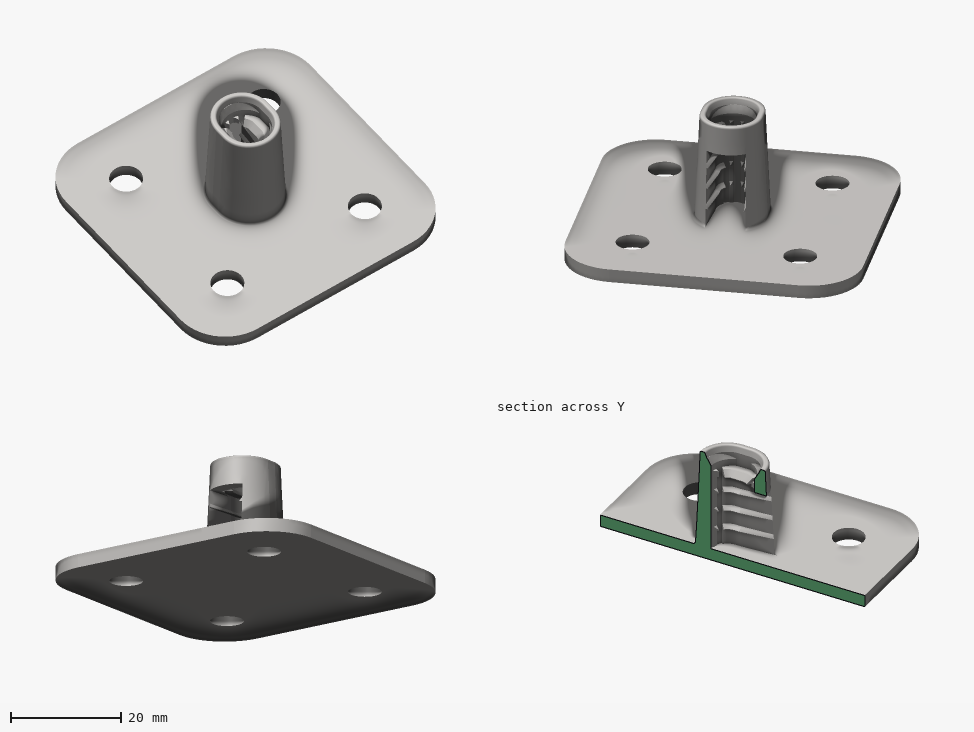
import cadquery as cq
import math

plate_side = 55.0
plate_thickness = 2.55
plate_corner_radius = 10.0
hole_spacing = 30.95
hole_diameter = 6.15

tower_top = 22.95
end_offset = 1.05
tower_base_radius = 6.75
tower_top_radius = 5.8
foot_fillet_radius = 0.5
rim_fillet_radius = 0.45

mouth_top_radius = 4.75
mouth_bottom_radius = 4.25
mouth_depth = 1.2
bore_radius = 4.45
bore_entry_radius = 5.2
bore_entry_depth = 1.4
bore_depth = 4.0
shelf_z = tower_top - bore_depth

chamber_radius = 3.25
throat_top_radius = 2.8
throat_radius = 1.7
throat_funnel_height = 1.1
tooth_tip_radius = 2.5
tooth_count = 3
tooth_pitch = 4.0
tooth_ramp_height = 0.7
tooth_lip_height = 0.1

rib_y = 1.05
rib_tip_x = 3.4
rib_width = 1.0

window_height = 14.9
window_half_width = 3.85
window_outer_x = -8.8
window_tooth_tip_y = 3.65


def stadium(z, radius):
    """Stadium wire outline at height z, elongated along X."""
    return (
        cq.Workplane("XY", origin=(0, 0, z))
        .slot2D(2 * (radius + end_offset), 2 * radius)
    )


def tapered_stadium(z_low, z_high, radius_low, radius_high):
    """Solid stadium with straight, evenly inclined walls."""
    height = z_high - z_low
    draft = math.degrees(math.atan2(radius_low - radius_high, height))
    return stadium(z_low, radius_low).extrude(height, taper=draft)


def make_plate():
    plate = (
        cq.Workplane("XY")
        .rect(plate_side, plate_side)
        .extrude(plate_thickness)
        .edges("|Z")
        .fillet(plate_corner_radius)
    )
    return (
        plate.faces(">Z").workplane()
        .rect(hole_spacing, hole_spacing, forConstruction=True)
        .vertices()
        .hole(hole_diameter)
    )


def add_tower(plate):
    tower = tapered_stadium(plate_thickness, tower_top, tower_base_radius, tower_top_radius)
    reach = tower_base_radius + 2 * end_offset
    margin = 0.05
    foot_edges = cq.selectors.BoxSelector(
        (-reach, -reach, plate_thickness - margin),
        (reach, reach, plate_thickness + margin),
        boundingbox=True,
    )
    return plate.union(tower).edges(foot_edges).fillet(foot_fillet_radius)


def make_socket():
    mouth_z = tower_top - mouth_depth
    mouth = tapered_stadium(mouth_z, tower_top, mouth_bottom_radius, mouth_top_radius)
    sides = stadium(shelf_z, mouth_bottom_radius).extrude(mouth_z - shelf_z)
    bore = (
        cq.Workplane("XY", origin=(0, 0, shelf_z))
        .circle(bore_radius)
        .extrude(mouth_z - bore_entry_depth - shelf_z)
    )
    entry = (
        bore.faces(">Z").workplane()
        .circle(bore_radius)
        .workplane(offset=bore_entry_depth)
        .circle(bore_entry_radius)
        .loft(combine=False)
    )
    return mouth.union(sides.intersect(bore.union(entry)))


def make_end_bulges():
    """Both X ends of the chamber, opened out to the bore between 45 degree walls."""
    height = shelf_z - plate_thickness
    reach = 2 * bore_radius
    bulges = cq.Workplane("XY", origin=(0, 0, plate_thickness)).circle(bore_radius).extrude(height)
    wedges = cq.Workplane("XY", origin=(0, 0, plate_thickness))
    ribs = cq.Workplane("XY", origin=(0, 0, plate_thickness))
    for side in (-1, 1):
        wedges = wedges.polyline([
            (side * end_offset, 0),
            (side * (end_offset + reach), reach),
            (side * (end_offset + reach), -reach),
        ]).close()
        for y in (-rib_y, rib_y):
            ribs = ribs.polyline([
                (side * rib_tip_x, y),
                (side * bore_radius, y + rib_width / 2),
                (side * bore_radius, y - rib_width / 2),
            ]).close()
    return bulges.intersect(wedges.extrude(height)).cut(ribs.extrude(height))


def make_window():
    """Opening in the -X wall, narrowing to the chamber width at the tower axis."""
    return (
        cq.Workplane("XY", origin=(0, 0, plate_thickness))
        .polyline([
            (0, chamber_radius),
            (window_outer_x, window_half_width),
            (window_outer_x, -window_half_width),
            (0, -chamber_radius),
        ])
        .close()
        .extrude(window_height)
    )


def make_tooth_ring(top_z, ramp_top_radius, tip_radius, ramp_height):
    """Ring around the chamber wall with a funnel-shaped ramp on top and a flat underside."""
    height = ramp_height + tooth_lip_height
    bottom_z = top_z - height
    ring = stadium(bottom_z, chamber_radius).extrude(height)
    opening = stadium(bottom_z, tip_radius).extrude(height)
    funnel = tapered_stadium(top_z - ramp_height, top_z, tip_radius, ramp_top_radius)
    return ring.cut(opening).cut(funnel)


def make_window_tooth(tooth_top_z, side):
    """Tooth along one window wall, shrinking towards the outside."""
    ramp_bottom_z = tooth_top_z - tooth_ramp_height
    underside_z = ramp_bottom_z - tooth_lip_height

    def profile(wall_y, tip_y):
        return [
            (side * wall_y, tooth_top_z),
            (side * tip_y, ramp_bottom_z),
            (side * tip_y, underside_z),
            (side * wall_y, underside_z),
        ]

    return (
        cq.Workplane("YZ")
        .polyline(profile(chamber_radius, tooth_tip_radius))
        .close()
        .workplane(offset=window_outer_x)
        .polyline(profile(window_half_width, window_tooth_tip_y))
        .close()
        .loft(ruled=True)
    )


def make_chamber():
    height = shelf_z - plate_thickness
    chamber = stadium(plate_thickness, chamber_radius).extrude(height).union(make_window())
    throat = make_tooth_ring(shelf_z, throat_top_radius, throat_radius, throat_funnel_height)
    chamber = chamber.cut(throat)

    inner_half = (
        cq.Workplane("XY")
        .rect(2 * tower_base_radius, 2 * tower_base_radius)
        .extrude(tower_top)
        .translate((tower_base_radius, 0, 0))
    )
    for index in range(tooth_count):
        tooth_top_z = shelf_z - (index + 1) * tooth_pitch
        ring = make_tooth_ring(tooth_top_z, chamber_radius, tooth_tip_radius, tooth_ramp_height)
        chamber = chamber.cut(ring.intersect(inner_half))
        for side in (-1, 1):
            chamber = chamber.cut(make_window_tooth(tooth_top_z, side))
    return chamber


body = add_tower(make_plate()).cut(make_socket())
body = body.faces(">Z").edges().fillet(rim_fillet_radius)
result = body.cut(make_chamber()).cut(make_end_bulges())